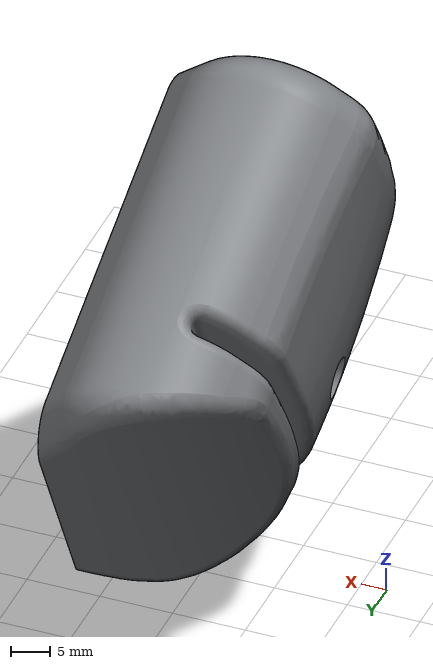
import cadquery as cq
import math

half_width = 28.25
depth = 50.5
front_y = -30.0
back_y = 28.3
tilt = 26.6

crest_x = 14.7
crest_radius = 13.7
slope_angle = 47.0

overhang = 6.85
back_stock = 0.35

bow_radius = 82.8
bow_y = -1.4
flank_lean = 1.7
flank_widest_z = -24.6
flank_turn = (3.4, -38.85)
belly_turn = (11.6, -47.35)

back_drop = 12.45
back_radius = (half_width**2 + back_drop**2) / (2 * back_drop)

end_round = 6.0
back_lip_round = 2.75
shoulder_round = 7.2
shoulder_z = -8.2

slot_y = 10.7
slot_width = 2.3
slot_floor_x = 11.35
slot_lip_round = 1.7

hole_y = -0.7
hole_z = -30.7
hole_diameter = 3.1
bore_diameter = 5.6
bore_floor_x = 4.1


def crowned_prism():
    """Prism along Y under the crowned top, open wide on the flank side."""
    angle = math.radians(slope_angle)
    arc_reach = crest_radius * math.sin(angle)
    arc_fall = crest_radius * (1 - math.cos(angle))

    def slope_z(x):
        return -arc_fall - (abs(x - crest_x) - arc_reach) * math.tan(angle)

    return (
        cq.Workplane("XZ", origin=(0, front_y, 0))
        .moveTo(-overhang, slope_z(-overhang))
        .lineTo(crest_x - arc_reach, -arc_fall)
        .threePointArc((crest_x, 0), (crest_x + arc_reach, -arc_fall))
        .lineTo(half_width, slope_z(half_width))
        .lineTo(half_width, -depth - overhang)
        .lineTo(-overhang, -depth - overhang)
        .close()
        .extrude(front_y - back_y - back_stock)
    )


def bowed_belly():
    """Flank and underside outline revolved about a cross axis above the part."""
    axis_z = bow_radius - depth
    return (
        cq.Workplane("XZ", origin=(0, bow_y, 0))
        .moveTo(flank_lean, axis_z - overhang)
        .lineTo(flank_lean, 0)
        .spline(
            [(0, flank_widest_z), flank_turn, belly_turn, (half_width, -depth)],
            tangents=[(0, -1), (1, 0)],
            includeCurrent=True,
        )
        .lineTo(half_width, axis_z - overhang)
        .close()
        .revolve(360, (0, axis_z, 0), (1, axis_z, 0))
    )


def barrel_end():
    """Upright cylinder whose far side is the back end face."""
    return (
        cq.Workplane("XY", origin=(half_width, back_y - back_radius, -2 * depth))
        .circle(back_radius)
        .extrude(3 * depth)
    )


def shouldered_block():
    """Crowned, bowed block with flat ends and a rounded shoulder between top and flank."""
    block = crowned_prism().intersect(bowed_belly())
    return block.edges(cq.NearestToPointSelector((0, 0, shoulder_z))).fillet(shoulder_round)


def rounded_body(block):
    """Round both ends, trim the back to the barrel face and round that face's rim."""
    rounded = block.faces("<Y or >Y").edges("not >X").fillet(end_round)
    trimmed = rounded.intersect(barrel_end())
    barrel_face = trimmed.faces(cq.NearestToPointSelector((half_width / 2, back_y - back_drop / 4, -depth / 2)))
    return barrel_face.edges("<X").fillet(back_lip_round)


def flank_slot():
    """Upright slot that enters from the flank and ends in a half-round floor."""
    return (
        cq.Workplane("XY", origin=(0, slot_y, -depth - overhang))
        .slot2D(2 * slot_floor_x, slot_width)
        .extrude(depth + 2 * overhang)
    )


def stepped_hole():
    """Cross hole along X with a wider bore sunk from the flank."""
    hole = cq.Workplane("YZ", origin=(0, hole_y, hole_z))
    through = hole.circle(hole_diameter / 2).extrude(half_width)
    bore = hole.circle(bore_diameter / 2).extrude(bore_floor_x)
    return through.union(bore)


body = rounded_body(shouldered_block())
slotted = body.cut(flank_slot())

lip_edge = slotted.edges(cq.NearestToPointSelector((-overhang, slot_y + slot_width / 2, hole_z)))
drilled = lip_edge.fillet(slot_lip_round).cut(stepped_hole())

result = drilled.rotate((0, 0, 0), (1, 0, 0), -tilt)